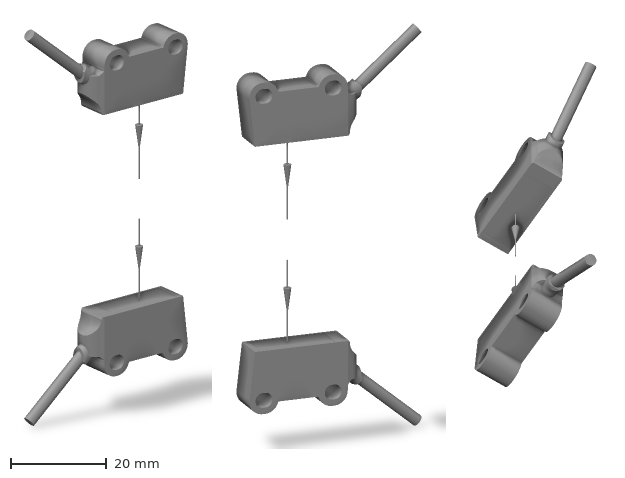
import cadquery as cq
import math


face_gap = 45.1

width = 7.5
half_width = width / 2
base_back_y = 8.7
deck_height = 11.5
lug_height = 10.85
lug_radius = 3.0
hole_diameter = 3.3
slot_stretch = 0.5
back_hole_y = 6.7
front_hole_y = -8.8
saddle_fillet = 0.3
front_y = front_hole_y - slot_stretch / 2 - lug_radius

window_inset = 0.6
window_depth = 0.1
window_back_y = 7.5
window_front_y = -9.5

cap_tip_y = -15.2
cap_tip_half_width = 0.35
cap_nose_radius = 3.1
cap_shoulder_half_width = 3.3
cap_foot_y = -12.7
cap_foot_chamfer = 0.3
cap_foot_height = 0.5
cap_under_radius = 3.2
cap_under_angle = 45
cap_top_height = 8.7
cap_back_height = 10.15
cap_step_height = 9.6
cap_step = 0.1
cap_slope_end_y = -13.15

cable_diameter = 2.6
cable_angle = 40
cable_exit_y = -16.0
cable_exit_height = 9.5
cable_length = 17.2
cable_root = 1.8
collar_diameter = 3.9
collar_top_height = 10.7
collar_bevel = 0.9
collar_overrun = 2.65
collar_root_height = 7.9
bend_start_y = -13.1

rod_diameter = 0.3
arrow_head_offset = 6.1
arrow_head_length = 5.0
arrow_head_diameter = 1.7
arrow_length = 18.2


def side_prism(sketch, half_thickness):
    """Extrude a YZ outline symmetrically about X = 0."""
    return sketch.extrude(half_thickness, both=True)


def lug(hole_y):
    """Stretched round lug around one mounting hole."""
    length = slot_stretch + 2 * lug_radius
    return side_prism(
        cq.Workplane("YZ").center(hole_y, lug_height).slot2D(length, 2 * lug_radius), half_width
    )


def mounting_holes():
    length = slot_stretch + hole_diameter
    centres = [(back_hole_y, lug_height), (front_hole_y, lug_height)]
    return side_prism(
        cq.Workplane("YZ").pushPoints(centres).slot2D(length, hole_diameter), width
    )


def housing_block():
    """Block below the lugs, with a sloping back that is tangent to the back lug."""
    lug_y = back_hole_y + slot_stretch / 2
    run = base_back_y - lug_y
    distance = math.hypot(run, lug_height)
    tangent_angle = math.acos(lug_radius / distance) - math.atan2(lug_height, run)
    back_tangent = (
        lug_y + lug_radius * math.cos(tangent_angle),
        lug_height + lug_radius * math.sin(tangent_angle),
    )
    outline = (
        cq.Workplane("YZ")
        .moveTo(front_y, 0)
        .lineTo(base_back_y, 0)
        .lineTo(*back_tangent)
        .lineTo(lug_y, lug_height)
        .lineTo(lug_y, deck_height)
        .lineTo(front_hole_y, deck_height)
        .lineTo(front_hole_y, lug_height)
        .lineTo(front_y, lug_height)
        .close()
    )
    return side_prism(outline, half_width)


def housing():
    solid = housing_block().union(lug(back_hole_y)).union(lug(front_hole_y)).clean()
    middle_y = (back_hole_y + front_hole_y) / 2
    saddle_span = back_hole_y - front_hole_y - lug_radius
    saddle = cq.selectors.BoxSelector(
        (-width, middle_y - saddle_span / 2, deck_height - saddle_fillet),
        (width, middle_y + saddle_span / 2, deck_height + saddle_fillet),
    )
    solid = solid.edges("|X").edges(saddle).fillet(saddle_fillet)
    window = cq.Workplane("XY").box(
        width - 2 * window_inset, window_back_y - window_front_y, window_depth,
        centered=(True, False, False),
    ).translate((0, window_front_y, 0))
    return solid.cut(mounting_holes()).cut(window)


def cap():
    """Tapered cap: a plan outline with a round nose, trimmed by a side outline."""
    nose_centre_y = cap_tip_y + cap_nose_radius
    shoulder_reach = cap_shoulder_half_width - cap_tip_half_width
    shoulder_y = nose_centre_y - math.sqrt(cap_nose_radius**2 - shoulder_reach**2)
    diagonal = cap_nose_radius * math.sqrt(0.5)
    nose_mid = (cap_tip_half_width + diagonal, nose_centre_y - diagonal)
    plan = (
        cq.Workplane("XY")
        .moveTo(-half_width, front_y)
        .lineTo(-cap_shoulder_half_width, shoulder_y)
        .threePointArc((-nose_mid[0], nose_mid[1]), (-cap_tip_half_width, cap_tip_y))
        .lineTo(cap_tip_half_width, cap_tip_y)
        .threePointArc(nose_mid, (cap_shoulder_half_width, shoulder_y))
        .lineTo(half_width, front_y)
        .close()
        .extrude(cap_back_height)
    )

    under_turn = math.radians(cap_under_angle)

    def under_point(turn):
        return (
            cap_foot_y - cap_under_radius * (1 - math.cos(turn)),
            cap_foot_height + cap_under_radius * math.sin(turn),
        )

    under_end = under_point(under_turn)
    tip_bottom = under_end[1] + (under_end[0] - cap_tip_y) * math.tan(under_turn)
    side = side_prism(
        cq.Workplane("YZ")
        .moveTo(front_y, 0)
        .lineTo(cap_foot_y + cap_foot_chamfer, 0)
        .lineTo(cap_foot_y, cap_foot_height)
        .threePointArc(under_point(under_turn / 2), under_end)
        .lineTo(cap_tip_y, tip_bottom)
        .lineTo(cap_tip_y, cap_top_height)
        .lineTo(cap_slope_end_y, cap_top_height)
        .lineTo(front_y - cap_step, cap_step_height)
        .lineTo(front_y - cap_step, cap_back_height)
        .lineTo(front_y, cap_back_height)
        .close(),
        half_width,
    )
    return plan.intersect(side)


def cable_point(distance):
    """(Y, Z) of the cable axis at a distance from the collar's front face."""
    tilt = math.radians(cable_angle)
    return (
        cable_exit_y - distance * math.cos(tilt),
        cable_exit_height + distance * math.sin(tilt),
    )


def cable():
    y, z = cable_point(-cable_root)
    tilt = math.radians(cable_angle)
    axis = cq.Vector(0, -math.cos(tilt), math.sin(tilt))
    return cq.Workplane(
        cq.Solid.makeCylinder(cable_diameter / 2, cable_root + cable_length, cq.Vector(0, y, z), axis)
    )


def collar():
    """Round collar that leaves the housing level and bends up to the cable direction.

    It ends in a flat front and a flat top with a bevel between them.
    """
    tilt = math.radians(cable_angle)
    corner_y = cable_exit_y + (cable_exit_height - collar_root_height) / math.tan(tilt)
    bend_radius = (bend_start_y - corner_y) / math.tan(tilt / 2)

    def bend_point(angle):
        return (
            bend_start_y - bend_radius * math.sin(angle),
            collar_root_height + bend_radius * (1 - math.cos(angle)),
        )

    path = (
        cq.Workplane("YZ")
        .moveTo(front_y, collar_root_height)
        .lineTo(bend_start_y, collar_root_height)
        .threePointArc(bend_point(tilt / 2), bend_point(tilt))
        .lineTo(*cable_point(collar_overrun))
    )
    tube = (
        cq.Workplane("XZ", origin=(0, front_y, collar_root_height))
        .circle(collar_diameter / 2)
        .sweep(path)
    )
    trim = side_prism(
        cq.Workplane("YZ")
        .moveTo(front_y, 0)
        .lineTo(cable_exit_y, 0)
        .lineTo(cable_exit_y, collar_top_height - collar_bevel)
        .lineTo(cable_exit_y + collar_bevel, collar_top_height)
        .lineTo(front_y, collar_top_height)
        .close(),
        half_width,
    )
    return tube.intersect(trim)


def sensor():
    return housing().union(cap()).union(collar()).union(cable())


def beam_arrow(start_z):
    """Thin rod running down from start_z, with a conical head pointing down."""
    rod = cq.Workplane("XY", origin=(0, 0, start_z)).circle(rod_diameter / 2).extrude(-arrow_length)
    head = cq.Solid.makeCone(
        arrow_head_diameter / 2, rod_diameter / 2, arrow_head_length,
        cq.Vector(0, 0, start_z - arrow_head_offset), cq.Vector(0, 0, -1),
    )
    return rod.union(cq.Workplane(head))


upper_sensor = sensor().translate((0, 0, face_gap / 2))
lower_sensor = upper_sensor.mirror("XY")

window_z = face_gap / 2 + window_depth
arrow_starts = [window_z, arrow_length - window_z]
arrows = [beam_arrow(start_z) for start_z in arrow_starts]

result = cq.Compound.makeCompound(
    [upper_sensor.val(), lower_sensor.val()] + [arrow.val() for arrow in arrows]
)